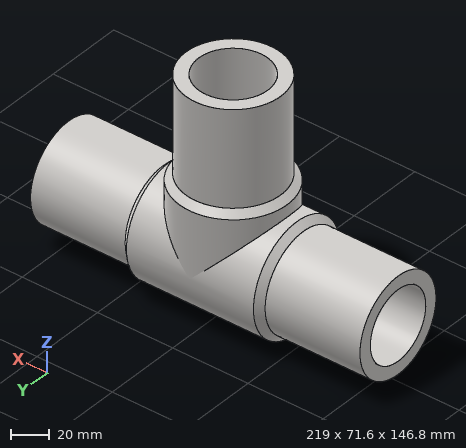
import cadquery as cq

PIPE_DIAMETER = 63.0
BODY_DIAMETER = 71.6
BORE_DIAMETER = 45.8
RUN_HALF_LENGTH = 109.5
BRANCH_HEIGHT = 111.0
SPIGOT_LENGTH = 63.0

PIPE_RADIUS = PIPE_DIAMETER / 2
BODY_RADIUS = BODY_DIAMETER / 2
BORE_RADIUS = BORE_DIAMETER / 2
BODY_STEP = BODY_RADIUS - PIPE_RADIUS

RUN_DIRECTIONS = [cq.Vector(-1, 0, 0), cq.Vector(1, 0, 0)]
BRANCH_DIRECTION = cq.Vector(0, 0, 1)
CENTRE = cq.Vector(0, 0, 0)


def make_arm(direction, reach):
    """Solid arm from the centre: thick body, 45 degree taper, then the pipe spigot."""
    body_length = reach - SPIGOT_LENGTH
    taper_start = body_length - BODY_STEP
    body = cq.Solid.makeCylinder(BODY_RADIUS, taper_start, CENTRE, direction)
    taper = cq.Solid.makeCone(BODY_RADIUS, PIPE_RADIUS, BODY_STEP, direction * taper_start, direction)
    spigot = cq.Solid.makeCylinder(PIPE_RADIUS, SPIGOT_LENGTH, direction * body_length, direction)
    return cq.Workplane(body).union(cq.Workplane(taper)).union(cq.Workplane(spigot))


def make_bore(start, direction, length):
    return cq.Workplane(cq.Solid.makeCylinder(BORE_RADIUS, length, start, direction))


run = make_arm(RUN_DIRECTIONS[0], RUN_HALF_LENGTH).union(make_arm(RUN_DIRECTIONS[1], RUN_HALF_LENGTH))
branch = make_arm(BRANCH_DIRECTION, BRANCH_HEIGHT)
outer = run.union(branch)

run_bore = make_bore(RUN_DIRECTIONS[0] * RUN_HALF_LENGTH, RUN_DIRECTIONS[1], 2 * RUN_HALF_LENGTH)
branch_bore = make_bore(CENTRE, BRANCH_DIRECTION, BRANCH_HEIGHT)

result = outer.cut(run_bore).cut(branch_bore).clean()